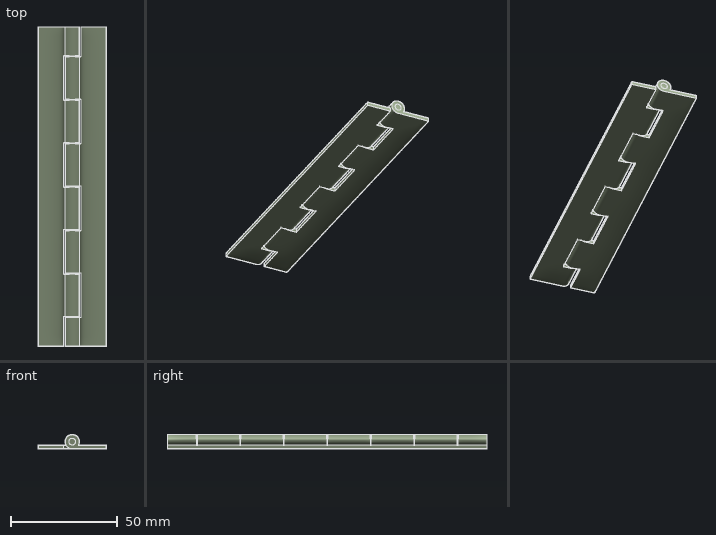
import cadquery as cq

length = 150.0
width = 32.0
thickness = 1.8
barrel_radius = 3.38
pin_radius = barrel_radius - thickness

knuckle_count = 8
knuckle_pitch = 20.4
end_pitch = (length - (knuckle_count - 2) * knuckle_pitch) / 2
knuckle_gap = 0.4
leaf_clearance = 0.7

half_width = width / 2
leaf_edge = barrel_radius + leaf_clearance


def slab(x_start, x_end, y_start, y_end):
    """Flat plate of leaf thickness resting on Z = 0."""
    return cq.Workplane("XY").box(
        x_end - x_start, y_end - y_start, thickness, centered=False
    ).translate((x_start, y_start, 0))


def axis_cylinder(radius, y_start, y_end):
    """Cylinder around the hinge axis."""
    plane = cq.Workplane("XZ", origin=(0, y_start, barrel_radius))
    return plane.circle(radius).extrude(y_start - y_end)


def knuckle_span(index):
    """Start and end of a knuckle along Y, with the gaps taken off its inner ends."""
    y_start = -length / 2
    y_end = length / 2
    if index > 0:
        y_start += end_pitch + (index - 1) * knuckle_pitch + knuckle_gap / 2
    if index < knuckle_count - 1:
        y_end = -length / 2 + end_pitch + index * knuckle_pitch - knuckle_gap / 2
    return y_start, y_end


def make_leaf(first_knuckle, side):
    """Leaf with every second knuckle; side is 1 for +X and -1 for -X."""
    plate_start, plate_end = sorted((side * leaf_edge, side * half_width))
    leaf = slab(plate_start, plate_end, -length / 2, length / 2)
    tongue_start, tongue_end = sorted((0, side * leaf_edge))
    for index in range(first_knuckle, knuckle_count, 2):
        y_start, y_end = knuckle_span(index)
        leaf = leaf.union(slab(tongue_start, tongue_end, y_start, y_end))
        leaf = leaf.union(axis_cylinder(barrel_radius, y_start, y_end))
    return leaf.cut(axis_cylinder(pin_radius, -length / 2, length / 2))


right_leaf = make_leaf(first_knuckle=0, side=1)
left_leaf = make_leaf(first_knuckle=1, side=-1)
pin = axis_cylinder(pin_radius, -length / 2, length / 2)

result = cq.Compound.makeCompound([right_leaf.val(), left_leaf.val(), pin.val()])